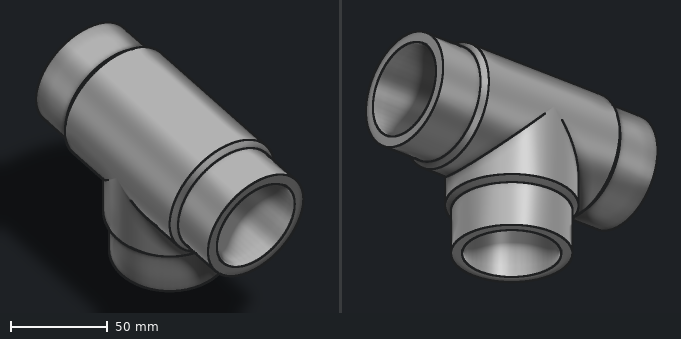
import cadquery as cq

run_length = 144.0
body_diameter = 69.3
spigot_diameter = 63.0
bore_diameter = 51.4
spigot_length = 25.0

arm_length = run_length / 2
shoulder_distance = arm_length - spigot_length
shoulder_bevel = (body_diameter - spigot_diameter) / 2


def run_cylinder(diameter, half_length):
    """Cylinder along X, centred on the origin."""
    start = cq.Workplane("YZ", origin=(-half_length, 0, 0))
    return start.circle(diameter / 2).extrude(2 * half_length)


def branch_cylinder(diameter, length):
    """Cylinder from the origin down along -Z."""
    return cq.Workplane("XY").circle(diameter / 2).extrude(-length)


run_body = run_cylinder(body_diameter, shoulder_distance).faces("<X or >X").chamfer(shoulder_bevel)
branch_body = branch_cylinder(body_diameter, shoulder_distance).faces("<Z").chamfer(shoulder_bevel)

run_spigots = run_cylinder(spigot_diameter, arm_length)
branch_spigot = branch_cylinder(spigot_diameter, arm_length)

outside = run_body.union(branch_body).union(run_spigots).union(branch_spigot)

run_bore = run_cylinder(bore_diameter, arm_length)
branch_bore = branch_cylinder(bore_diameter, arm_length)

result = outside.cut(run_bore).cut(branch_bore)